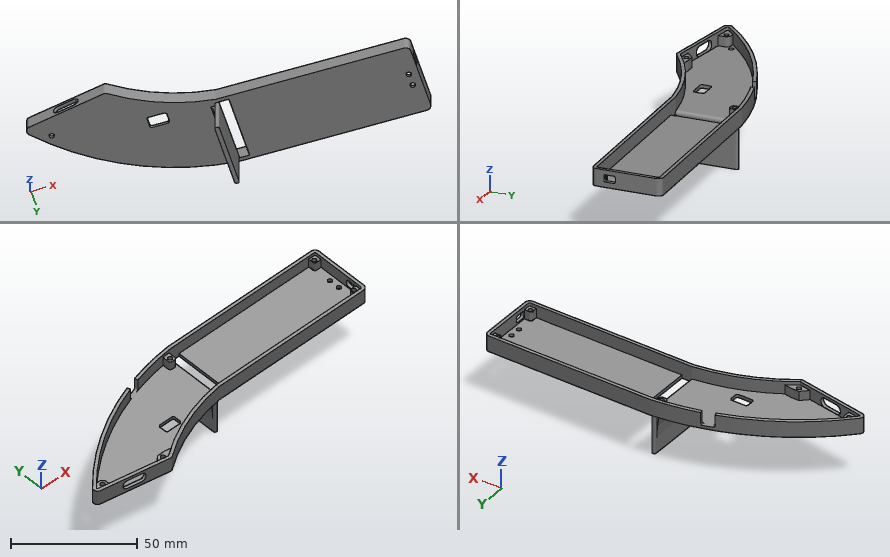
import cadquery as cq
import math

length = 156.1
bar_width = 30.1
tray_height = 7.5
floor_thickness = 1.5
wall = 1.5

arc_center_x = 85.8
junction_x = 75.9
inner_radius = 86.3
outer_radius = 116.3
end_wall_angle = math.radians(10)
tip_radius = 2.0
front_corner_radius = 1.7
bar_corner_radius = 2.2

post_top = 6.0
post_size = 3.5
post_corner_radius = 1.0
arm_post_radius = 1.1
arm_post_x = 71.6
arm_post_y = 24.0
tip_post_center = (6.0, -6.9)
tip_post_radius = 2.0
front_post_outline = [(26.5, -15.9), (32.5, -10.3), (36.4, -10.3), (41.5, -11.2), (35.9, -18.7)]
hole_diameter = 2.0
post_holes = [(152.3, 26.7), (152.3, 3.7), (73.4, 25.9), (33.7, -12.2), tip_post_center]
floor_holes = [(152.0, 17.3), (152.0, 12.2), (8.9, -3.6)]

window_center = (51.2, 2.3)
window_length = 8.1
window_width = 4.8
window_corner_radius = 1.0

leg_right_x = 76.6
leg_thickness = 1.9
leg_drop = 19.0
leg_edge_radius = 0.8
floor_edge_radius = 1.4
cable_slot_width = 4.0

flare_reach = 1.9
flare_shoulder = 1.1
flare_shoulder_drop = 1.4
flare_toe = 0.3
flare_toe_drop = 6.5
flare_end_drop = 11.7
flare_inset = 1.2

side_opening_z = 3.9
end_slot_length = 11.0
end_slot_height = 4.4
end_slot_x = 17.6
bar_slot_length = 5.0
bar_slot_height = 3.1
bar_slot_corner_radius = 0.8
bar_slot_y = 7.8
notch_width = 6.0
notch_angle = 17.2
notch_floor_radius = 1.0

arc_center_y = -math.sqrt(inner_radius**2 - (arc_center_x - junction_x) ** 2)
tip_center_y = arc_center_y + math.sqrt((outer_radius - tip_radius) ** 2 - (arc_center_x - tip_radius) ** 2)
end_wall_slope = -math.tan(end_wall_angle)
end_wall_y0 = tip_center_y - tip_radius / math.cos(end_wall_angle) - end_wall_slope * tip_radius


def end_wall_crossing(radius, inset):
    """Point left of the arc center where the end wall, moved inward by inset, crosses an arm arc."""
    start_y = end_wall_y0 + inset / math.cos(end_wall_angle)
    rise = start_y - arc_center_y
    a = 1 + end_wall_slope**2
    b = 2 * (end_wall_slope * rise - arc_center_x)
    c = arc_center_x**2 + rise**2 - radius**2
    x = (-b - math.sqrt(b**2 - 4 * a * c)) / (2 * a)
    return x, start_y + end_wall_slope * x


def edge_crossing(radius, y):
    """Point left of the arc center where a straight side of the bar at the given y crosses an arm arc."""
    return arc_center_x - math.sqrt(radius**2 - (y - arc_center_y) ** 2), y


def arc_middle(start, end, radius):
    """Middle point of an arm arc between two of its points."""
    start_angle = math.atan2(start[1] - arc_center_y, start[0] - arc_center_x)
    end_angle = math.atan2(end[1] - arc_center_y, end[0] - arc_center_x)
    middle = (start_angle + end_angle) / 2
    return arc_center_x + radius * math.cos(middle), arc_center_y + radius * math.sin(middle)


def make_outline_block(inset, bottom_z):
    """Block up to the rim with the tray outline, every side moved inward by inset."""
    large_radius = outer_radius - inset
    small_radius = inner_radius + inset
    back_y = bar_width - inset
    tip = end_wall_crossing(large_radius, inset)
    front_corner = end_wall_crossing(small_radius, inset)
    back_junction = edge_crossing(large_radius, back_y)
    front_junction = edge_crossing(small_radius, inset)
    block = (
        cq.Workplane("XY", origin=(0, 0, bottom_z))
        .moveTo(*front_junction)
        .lineTo(length - inset, inset)
        .lineTo(length - inset, back_y)
        .lineTo(*back_junction)
        .threePointArc(arc_middle(back_junction, tip, large_radius), tip)
        .lineTo(*front_corner)
        .threePointArc(arc_middle(front_corner, front_junction, small_radius), front_junction)
        .close()
        .extrude(tray_height - bottom_z)
    )
    block = block.edges("|Z and >X").fillet(bar_corner_radius - inset)
    block = block.edges("|Z and <X").fillet(tip_radius - inset)
    return block.edges("|Z and <Y").fillet(front_corner_radius - inset)


def make_posts(cavity):
    """Screw posts with blind holes down to the floor, trimmed to the inside of the walls."""
    height = post_top - floor_thickness
    floor = cq.Workplane("XY", origin=(0, 0, floor_thickness))

    def block(x0, y0, x1, y1):
        return floor.moveTo((x0 + x1) / 2, (y0 + y1) / 2).rect(x1 - x0, y1 - y0).extrude(height)

    bar_post_x = length - wall - post_size
    bar_back = block(bar_post_x, bar_width - wall - post_size, length, bar_width)
    bar_front = block(bar_post_x, 0, length, wall + post_size)
    arm = block(arm_post_x, arm_post_y, arm_post_x + post_size, bar_width)
    tip_x, tip_y = tip_post_center
    tip_round = floor.moveTo(tip_x, tip_y).circle(tip_post_radius).extrude(height)
    tip_front = block(0, tip_y - 2 * tip_post_radius, tip_x + tip_post_radius, tip_y)
    tip_back = block(0, tip_y, tip_x, tip_y + tip_post_radius)
    front = floor.polyline(front_post_outline).close().extrude(height)

    posts = (
        bar_back.edges("|Z and <X and <Y")
        .fillet(post_corner_radius)
        .union(bar_front.edges("|Z and <X and >Y").fillet(post_corner_radius))
        .union(arm.edges("|Z and <Y").fillet(arm_post_radius))
        .union(tip_round)
        .union(tip_front)
        .union(tip_back)
        .union(front)
    )
    holes = floor.pushPoints(post_holes).circle(hole_diameter / 2).extrude(height)
    return posts.intersect(cavity).cut(holes)


def make_leg():
    """Thin leg with rounded upright edges under the cable slot, and the flare that joins it to the floor."""
    leg_left_x = leg_right_x - leg_thickness
    leg_width = bar_width - 2 * wall
    overlap = floor_thickness / 2
    leg = (
        cq.Workplane("XY", origin=(0, 0, -leg_drop))
        .moveTo(leg_right_x - leg_thickness / 2, bar_width / 2)
        .rect(leg_thickness, leg_width)
        .extrude(leg_drop)
        .edges("|Z")
        .fillet(leg_edge_radius)
    )
    flare = (
        cq.Workplane("XZ", origin=(0, bar_width / 2, 0))
        .moveTo(leg_right_x, overlap)
        .lineTo(leg_left_x - flare_reach, overlap)
        .lineTo(leg_left_x - flare_reach, 0)
        .lineTo(leg_left_x - flare_shoulder, -flare_shoulder_drop)
        .lineTo(leg_left_x - flare_toe, -flare_toe_drop)
        .lineTo(leg_left_x, -flare_end_drop)
        .lineTo(leg_right_x, -flare_end_drop)
        .close()
        .extrude(leg_width / 2 - flare_inset, both=True)
    )
    return leg.union(flare)


def cut_floor_openings(tray):
    """Cable slot across the bar, window in the arm, and small round holes."""
    floor = cq.Workplane("XY")
    slot = (
        floor.moveTo(leg_right_x + cable_slot_width / 2, bar_width / 2)
        .rect(cable_slot_width, bar_width - 2 * wall)
        .extrude(floor_thickness)
    )
    window = (
        floor.moveTo(*window_center)
        .rect(window_length, window_width)
        .extrude(floor_thickness)
        .edges("|Z")
        .fillet(window_corner_radius)
    )
    holes = floor.pushPoints(floor_holes).circle(hole_diameter / 2).extrude(floor_thickness)
    return tray.cut(slot).cut(window).cut(holes)


def round_floor_edge(tray):
    """Round the floor edge that leads down to the leg."""
    edge_point = (leg_right_x, bar_width / 2, floor_thickness)
    return tray.edges(cq.selectors.NearestToPointSelector(edge_point)).fillet(floor_edge_radius)


def cut_wall_openings(tray):
    """Rounded slot in the end wall, small slot in the bar end, and open notch in the outer arc wall."""
    end_slot = (
        cq.Workplane("XZ")
        .slot2D(end_slot_length, end_slot_height)
        .extrude(2 * wall, both=True)
        .rotate((0, 0, 0), (0, 0, 1), -math.degrees(end_wall_angle))
        .translate((end_slot_x, end_wall_y0 + end_wall_slope * end_slot_x, side_opening_z))
    )
    bar_slot = (
        cq.Workplane("YZ", origin=(length - 2 * wall, bar_slot_y, side_opening_z))
        .rect(bar_slot_length, bar_slot_height)
        .extrude(2 * wall)
        .edges("|X")
        .fillet(bar_slot_corner_radius)
    )
    notch = (
        cq.Workplane("XZ", origin=(0, 0, floor_thickness + tray_height / 2))
        .rect(notch_width, tray_height)
        .extrude(2 * wall, both=True)
        .edges("|Y and <Z")
        .fillet(notch_floor_radius)
        .translate((0, outer_radius, 0))
        .rotate((0, 0, 0), (0, 0, 1), notch_angle)
        .translate((arc_center_x, arc_center_y, 0))
    )
    return tray.cut(end_slot).cut(bar_slot).cut(notch)


cavity = make_outline_block(wall, floor_thickness)
tray = cut_floor_openings(make_outline_block(0, 0).cut(cavity))
tray = round_floor_edge(tray.union(make_leg())).union(make_posts(cavity))
result = cut_wall_openings(tray)